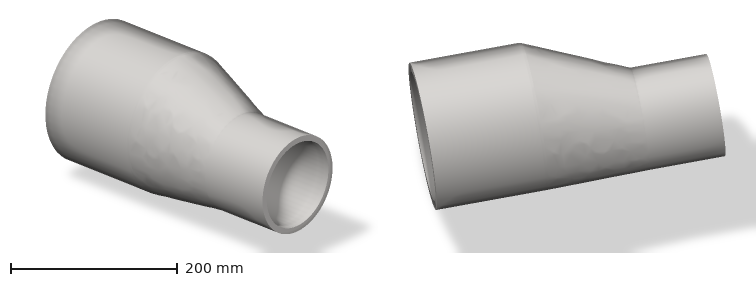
import cadquery as cq

total_length = 353.0
large_length = 135.0
small_length = 93.2
large_outer_diameter = 180.0
large_bore_diameter = 158.5
small_outer_diameter = 125.0
small_bore_diameter = 110.0
shoulder_reach = 1.8

taper_end = total_length - small_length
taper_length = taper_end - large_length
small_axis_y = (small_outer_diameter - large_outer_diameter) / 2


def round_section(x, axis_y, diameter):
    """Circular wire in a plane square to X."""
    return cq.Wire.makeCircle(diameter / 2, cq.Vector(x, axis_y, 0), cq.Vector(1, 0, 0))


def cylinder(start_x, end_x, axis_y, diameter):
    """Solid cylinder between two positions along X."""
    return (
        cq.Workplane("YZ", origin=(start_x, axis_y, 0))
        .circle(diameter / 2)
        .extrude(end_x - start_x)
    )


def loft(sections, ruled):
    """Solid through circular sections, straight or smoothly curved between them."""
    return cq.Workplane(obj=cq.Solid.makeLoft(sections, ruled))


def outer_body():
    """Solid outside shape with a rounded shoulder where the taper begins."""
    shoulder_start = large_length - shoulder_reach
    shoulder_end = large_length + shoulder_reach
    diameter_loss = (large_outer_diameter - small_outer_diameter) * shoulder_reach / taper_length
    middle_loss = diameter_loss / 4

    start_section = round_section(shoulder_start, 0, large_outer_diameter)
    middle_section = round_section(large_length, -middle_loss / 2, large_outer_diameter - middle_loss)
    end_section = round_section(shoulder_end, -diameter_loss / 2, large_outer_diameter - diameter_loss)
    small_section = round_section(taper_end, small_axis_y, small_outer_diameter)

    large_end = cylinder(0, shoulder_start, 0, large_outer_diameter)
    shoulder = loft([start_section, middle_section, end_section], ruled=False)
    taper = loft([end_section, small_section], ruled=True)
    small_end = cylinder(taper_end, total_length, small_axis_y, small_outer_diameter)
    return large_end.union(shoulder).union(taper).union(small_end)


def bore():
    """Solid inside shape: two straight bores joined by an eccentric taper."""
    large_section = round_section(large_length, 0, large_bore_diameter)
    small_section = round_section(taper_end, small_axis_y, small_bore_diameter)

    large_end = cylinder(0, large_length, 0, large_bore_diameter)
    taper = loft([large_section, small_section], ruled=True)
    small_end = cylinder(taper_end, total_length, small_axis_y, small_bore_diameter)
    return large_end.union(taper).union(small_end)


result = outer_body().cut(bore())